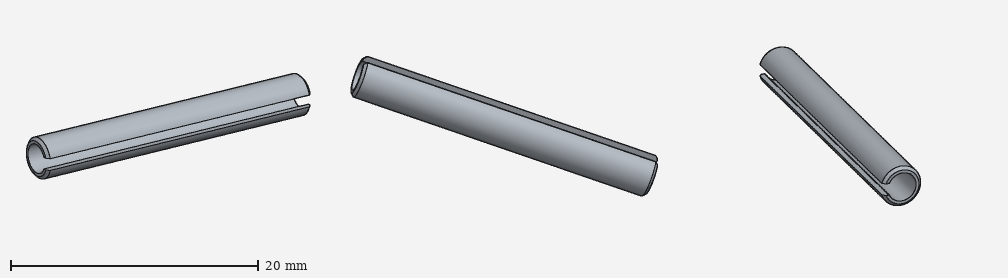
import cadquery as cq

length = 25.5
outer_diameter = 3.5
wall = 0.5
slot_width = 1.02
chamfer_length = 0.25
chamfer_depth = 0.25

outer_radius = outer_diameter / 2
inner_radius = outer_radius - wall
end_radius = outer_radius - chamfer_depth
half_length = length / 2
shoulder = half_length - chamfer_length


def make_tube():
    """Revolve the wall section, with both outer ends chamfered, about Y."""
    section = [
        (inner_radius, -half_length),
        (end_radius, -half_length),
        (outer_radius, -shoulder),
        (outer_radius, shoulder),
        (end_radius, half_length),
        (inner_radius, half_length),
    ]
    return cq.Workplane("XY").polyline(section).close().revolve(360, (0, 0, 0), (0, 1, 0))


def make_slot():
    """Full-length cutter from the axis out through the +X wall."""
    return cq.Workplane("XY").box(outer_diameter, length, slot_width, centered=(False, True, True))


result = make_tube().cut(make_slot())